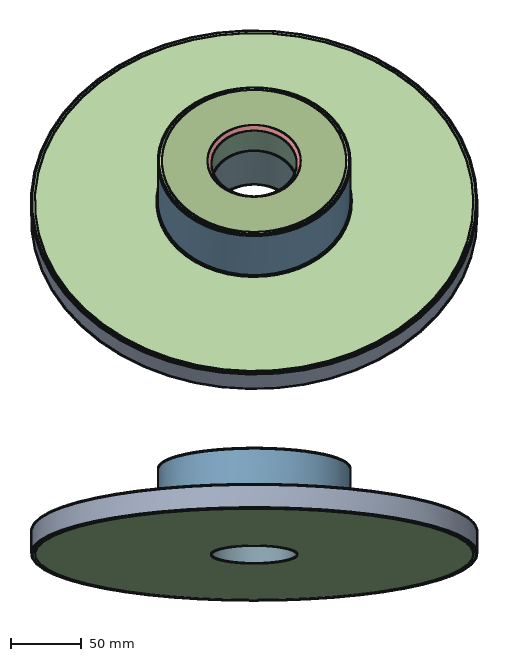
import cadquery as cq

flange_diameter = 315.0
flange_thickness = 18.0
hub_diameter = 136.0
total_height = 63.0
edge_chamfer = 1.0
hub_base_diameter = 138.0
base_bevel = (hub_base_diameter - hub_diameter) / 2

core_flange_diameter = 309.3
core_hub_diameter = 130.0
skin_thickness = 0.5

bore_diameter = 60.2
bore_chamfer = 2.8
relief_diameter = 60.8
relief_top = 37.8


def revolve_profile(points):
    """Revolve a closed (radius, height) outline about the Z axis."""
    return cq.Workplane("XZ").polyline(points).close().revolve(360, (0, 0), (0, 1))


def make_core():
    """Flanged hub whose chamfered bore has a slight relief in its lower part."""
    flange_radius = core_flange_diameter / 2
    hub_radius = core_hub_diameter / 2
    bore_radius = bore_diameter / 2
    relief_radius = relief_diameter / 2
    flange_top = flange_thickness - skin_thickness
    return revolve_profile([
        (relief_radius, skin_thickness),
        (flange_radius, skin_thickness),
        (flange_radius, flange_top),
        (hub_radius, flange_top),
        (hub_radius, total_height),
        (bore_radius + bore_chamfer, total_height),
        (bore_radius, total_height - bore_chamfer),
        (bore_radius, relief_top),
        (relief_radius, relief_top),
    ])


def make_cover(core):
    """Thin cover over the flange and the side of the hub, hollowed to the shape of the core."""
    flange_radius = flange_diameter / 2
    hub_radius = hub_diameter / 2
    inner_radius = core_hub_diameter / 2
    relief_radius = relief_diameter / 2
    envelope = revolve_profile([
        (relief_radius, 0),
        (flange_radius - edge_chamfer, 0),
        (flange_radius, edge_chamfer),
        (flange_radius, flange_thickness - edge_chamfer),
        (flange_radius - edge_chamfer, flange_thickness),
        (hub_radius + base_bevel, flange_thickness),
        (hub_radius, flange_thickness + base_bevel),
        (hub_radius, total_height - edge_chamfer),
        (hub_radius - edge_chamfer, total_height),
        (inner_radius, total_height),
        (inner_radius, flange_thickness / 2),
        (relief_radius, flange_thickness / 2),
    ])
    return envelope.cut(core)


core = make_core()
cover = make_cover(core)

result = cq.Compound.makeCompound([core.val(), *cover.solids().vals()])